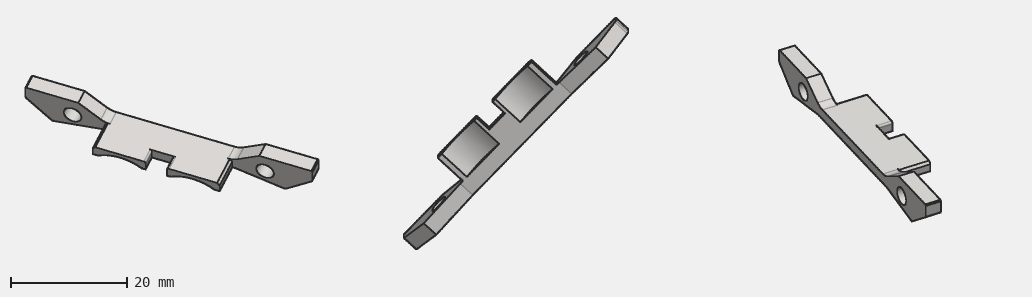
import cadquery as cq

half_length = 26.55
depth = 8.9
height = 6.6

wing_depth = 2.95
wing_top_chamfer = 0.2
wing_tip_z = 4.05
wing_tip_radius = 0.65
wing_bottom_x = 21.5
wing_top_inner_x = 16.7
wing_root_top_x = 11.85
wing_root_bottom_x = 12.35
wing_root_radius = 3.2
hole_x = 17.8
hole_z = 3.1
hole_diameter = 3.25

plate_depth = depth - wing_depth
plate_half_width = 11.75
plate_bottom_z = 1.6
plate_thickness = 1.95
plate_top_z = plate_bottom_z + plate_thickness
plate_chamfer = 0.5

notch_width = 3.95
notch_depth = 2.95
notch_edge_radius = 0.35

relief_x = 6.7
relief_half_chord = 4.05
relief_rise = 1.1


def front_plane(y):
    """Sketch plane at the given Y whose extrusions run toward -Y."""
    return cq.Workplane("XZ", origin=(0, y, 0))


def wing_bar():
    """Both wings and the strip between them, with the screw holes."""
    right_side = [
        (wing_root_bottom_x, plate_bottom_z),
        (wing_bottom_x, 0),
        (half_length, wing_tip_z),
        (half_length, height - wing_top_chamfer),
        (half_length - wing_top_chamfer, height),
        (wing_top_inner_x, height),
        (wing_root_top_x, plate_top_z),
    ]
    left_side = [(-x, z) for x, z in reversed(right_side)]
    bar = front_plane(0).polyline(right_side + left_side).close().extrude(wing_depth)
    for side in (-1, 1):
        root = cq.selectors.NearestToPointSelector((side * wing_root_top_x, -wing_depth / 2, plate_top_z))
        bar = bar.edges(root).fillet(wing_root_radius)
        tip = cq.selectors.NearestToPointSelector((side * half_length, -wing_depth / 2, wing_tip_z))
        bar = bar.edges(tip).fillet(wing_tip_radius)
    hole_centers = [(-hole_x, hole_z), (hole_x, hole_z)]
    holes = front_plane(0).pushPoints(hole_centers).circle(hole_diameter / 2).extrude(wing_depth)
    return bar.cut(holes)


def plate():
    """Plate in front of the wings, with chamfered sides and a notch with rounded upper edges."""
    body = (
        cq.Workplane("XY", origin=(0, -wing_depth - plate_depth / 2, plate_bottom_z))
        .rect(2 * plate_half_width, plate_depth)
        .extrude(plate_thickness)
        .edges("|Y and >Z")
        .chamfer(plate_chamfer)
    )
    notch = (
        cq.Workplane("XY", origin=(0, -depth, plate_bottom_z))
        .rect(notch_width, 2 * notch_depth)
        .extrude(plate_thickness)
    )
    body = body.cut(notch)
    for side in (-1, 1):
        edge_point = (side * notch_width / 2, notch_depth / 2 - depth, plate_top_z)
        body = body.edges(cq.selectors.NearestToPointSelector(edge_point)).fillet(notch_edge_radius)
    return body


def relief(x):
    """Circular-segment cutter reaching from the front edge back to the wings."""
    return (
        front_plane(-wing_depth)
        .moveTo(x - relief_half_chord, plate_bottom_z)
        .threePointArc((x, plate_bottom_z + relief_rise), (x + relief_half_chord, plate_bottom_z))
        .close()
        .extrude(plate_depth)
    )


result = wing_bar().union(plate())
for x in (-relief_x, relief_x):
    result = result.cut(relief(x))